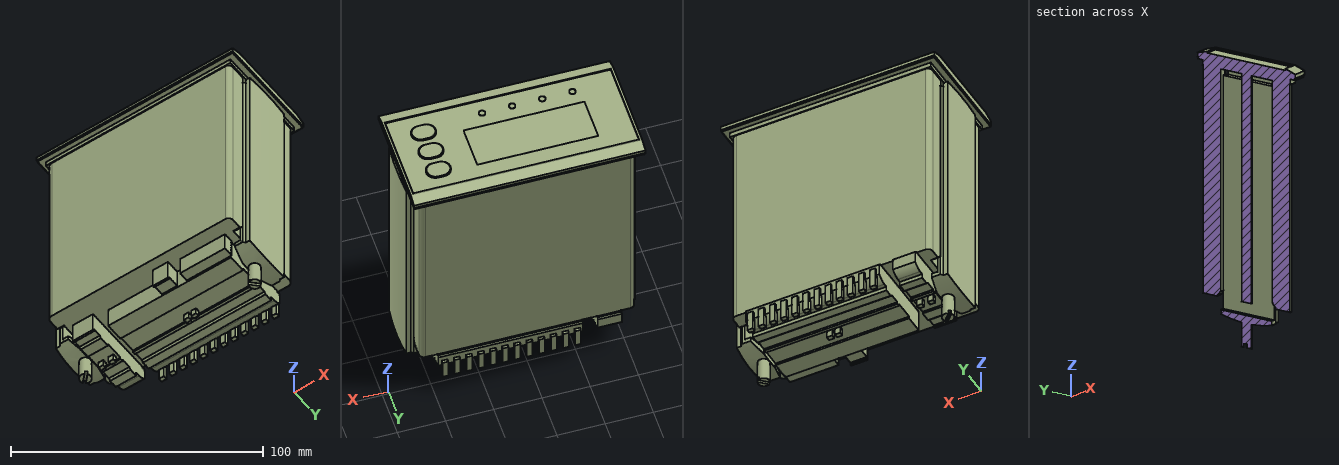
import cadquery as cq

PLATE_X = 96.0
PLATE_Y = 48.0
TOTAL_Z = 120.0

PLATE_BOTTOM = 116.8
BEVEL_Y = 4.7
BEVEL_Z = 1.5
GASKET_INSET = 0.2
GASKET_BOTTOM = 115.9
COLLAR_X = 90.2
COLLAR_Y = 43.2
COLLAR_BOTTOM = 113.8

PANEL_X = 93.6
PANEL_Y = 37.9
PANEL_DEPTH = 0.6
PANEL_Z = TOTAL_Z - PANEL_DEPTH
DISPLAY_X = 50.2
DISPLAY_Y = 18.4
DISPLAY_CENTER = (-7.0, 2.8)
DISPLAY_DEPTH = 0.1
LAMP_COUNT = 4
LAMP_PITCH = 12.5
LAMP_FIRST_X = -28.9
LAMP_ROW_Y = -12.6
LAMP_DIAMETER = 2.6
LAMP_HEIGHT = 0.2
BUTTON_COUNT = 3
BUTTON_PITCH = 10.0
BUTTON_X = 33.6
BUTTON_LENGTH = 10.2
BUTTON_WIDTH = 7.7
BUTTON_HEIGHT = 0.5
BUTTON_CHAMFER = 0.4

CASE_X = 89.3
CASE_Y = 42.6
CASE_BOTTOM = 18.8
CASE_FILLET = 2.2
LEAD_IN_Y = 2.0
LEAD_IN_Z = 2.4

SCREW_X = 41.4
SCREW_RADIUS = 2.5
SLOT_WIDTH = 1.2
SLOT_DEPTH = 1.5
SLOT_ANGLE = 45

COVER_X = PLATE_X / 2 - 0.1
COVER_EDGE_X = 47.4
COVER_HALF_Y = 11.6
COVER_TOP = 112.7
RUNNER_OUTER_X = 45.5
RUNNER_SHOULDER_X = 44.5
RUNNER_INNER_X = 43.3
RUNNER_HALF_Y = 12.5
RUNNER_TOP = 110.9
CLIP_BOTTOM = 10.1
CLIP_EDGE_BOTTOM = 11.8
FOOT_TOP = 13.7
FOOT_TIP_X = SCREW_X - SCREW_RADIUS
FOOT_SHOULDER_X = 40.7
FOOT_TIP_HALF_Y = 4.8

SMALL_BLOCK_LEFT = -38.6
SMALL_BLOCK_POLES = 2
SMALL_BLOCK_FRONT_Y = -12.5
LONG_BLOCK_LEFT = -22.5
LONG_BLOCK_X = 60.0
LONG_BLOCK_POLES = 12
POLE_PITCH = LONG_BLOCK_X / LONG_BLOCK_POLES
LONG_BLOCK_FRONT_Y = -10.5
BLOCK_BOTTOM = 9.1
BLOCK_BACK_Y = 22.5
BLOCK_CORNER = 0.6
RECESS_Z = 10.1
INNER_GROOVE_Y = (-2.4, 6.1)
REAR_GROOVE_Y = (7.5, 12.1)
RECESS_SLOPE = 0.7
STEP_Y = 16.7
STEP_Z = 11.0
BELLY_START_Y = 18.6
BELLY_MIDDLE = (21.1, 11.9)
BELLY_END_Z = 13.1
FRONT_LIP = 0.8
FRONT_RECESS_BACK_Y = -7.8
PIN_SIZE = 2.4
PIN_THICKNESS = 1.9
PIN_BOTTOM = 7.0
REAR_PIN_TOP = 15.8
REAR_PIN_Y = 22.8
INNER_PIN_Y = 4.1

SOCKET_LEFT = 3.7
SOCKET_X = 7.5
SOCKET_FRONT_Y = -16.8
SOCKET_PIN_PITCH = 3.6
PLAIN_LEFT = 15.8
PLAIN_X = 22.0
PLAIN_FRONT_Y = -15.1


def block(x_min, x_max, y_min, y_max, z_min, z_max):
    """Axis-aligned box given by its limits."""
    size = (x_max - x_min, y_max - y_min, z_max - z_min)
    return cq.Workplane("XY").box(*size, centered=False).translate((x_min, y_min, z_min))


def centered_block(x_size, y_size, z_min, z_max):
    """Box centred on the Z axis."""
    return block(-x_size / 2, x_size / 2, -y_size / 2, y_size / 2, z_min, z_max)


def front_plate():
    half_y = PLATE_Y / 2
    outline = [
        (-half_y, PLATE_BOTTOM),
        (half_y, PLATE_BOTTOM),
        (half_y, TOTAL_Z - BEVEL_Z),
        (half_y - BEVEL_Y, TOTAL_Z),
        (-half_y + BEVEL_Y, TOTAL_Z),
        (-half_y, TOTAL_Z - BEVEL_Z),
    ]
    plate = cq.Workplane("YZ").polyline(outline).close().extrude(PLATE_X / 2, both=True)
    plate = plate.cut(centered_block(PANEL_X, PANEL_Y, PANEL_Z, TOTAL_Z))
    gasket = centered_block(
        PLATE_X - 2 * GASKET_INSET, PLATE_Y - 2 * GASKET_INSET, GASKET_BOTTOM, PLATE_BOTTOM
    )
    collar = centered_block(COLLAR_X, COLLAR_Y, COLLAR_BOTTOM, GASKET_BOTTOM)
    return plate.union(gasket).union(collar)


def display_window():
    window = centered_block(DISPLAY_X, DISPLAY_Y, PANEL_Z - DISPLAY_DEPTH, PANEL_Z)
    return window.translate((*DISPLAY_CENTER, 0))


def lamps():
    centers = [(LAMP_FIRST_X + i * LAMP_PITCH, LAMP_ROW_Y) for i in range(LAMP_COUNT)]
    face = cq.Workplane("XY", origin=(0, 0, PANEL_Z)).pushPoints(centers)
    return face.circle(LAMP_DIAMETER / 2).extrude(LAMP_HEIGHT)


def buttons():
    face = cq.Workplane("XY", origin=(BUTTON_X, 0, PANEL_Z)).rarray(1.2, BUTTON_PITCH, 1, BUTTON_COUNT)
    return face.slot2D(BUTTON_LENGTH, BUTTON_WIDTH).extrude(BUTTON_HEIGHT).faces(">Z").chamfer(BUTTON_CHAMFER)


def case():
    body = centered_block(CASE_X, CASE_Y, CASE_BOTTOM, COLLAR_BOTTOM).edges("|Z").fillet(CASE_FILLET)
    outline = [
        (-RUNNER_HALF_Y - LEAD_IN_Y, CASE_BOTTOM),
        (RUNNER_HALF_Y + LEAD_IN_Y, CASE_BOTTOM),
        (RUNNER_HALF_Y, CASE_BOTTOM + LEAD_IN_Z),
        (RUNNER_HALF_Y, COLLAR_BOTTOM),
        (-RUNNER_HALF_Y, COLLAR_BOTTOM),
        (-RUNNER_HALF_Y, CASE_BOTTOM + LEAD_IN_Z),
    ]
    depth = CASE_X / 2 - SCREW_X
    channel = cq.Workplane("YZ", origin=(SCREW_X, 0, 0)).polyline(outline).close().extrude(depth)
    return body.cut(channel).cut(channel.mirror("YZ"))


def clip():
    """Clip with its clamp screw on the +X side."""
    cover = (
        cq.Workplane("XY", origin=(0, 0, CLIP_BOTTOM))
        .moveTo(RUNNER_OUTER_X, -COVER_HALF_Y)
        .lineTo(COVER_EDGE_X, -COVER_HALF_Y)
        .threePointArc((COVER_X, 0), (COVER_EDGE_X, COVER_HALF_Y))
        .lineTo(RUNNER_OUTER_X, COVER_HALF_Y)
        .close()
        .extrude(COVER_TOP - CLIP_BOTTOM)
    )
    runner_half = [
        (RUNNER_OUTER_X, COVER_HALF_Y),
        (RUNNER_SHOULDER_X, RUNNER_HALF_Y),
        (RUNNER_INNER_X, RUNNER_HALF_Y),
    ]
    foot_half = [
        (RUNNER_INNER_X, RUNNER_HALF_Y),
        (FOOT_SHOULDER_X, RUNNER_HALF_Y),
        (FOOT_TIP_X, FOOT_TIP_HALF_Y),
    ]
    runner = symmetric_prism(runner_half, CLIP_BOTTOM, RUNNER_TOP)
    foot = symmetric_prism(foot_half, CLIP_BOTTOM, FOOT_TOP)

    envelope = (
        cq.Workplane("YZ")
        .moveTo(-RUNNER_HALF_Y, COVER_TOP)
        .lineTo(-RUNNER_HALF_Y, CLIP_EDGE_BOTTOM)
        .threePointArc((0, CLIP_BOTTOM), (RUNNER_HALF_Y, CLIP_EDGE_BOTTOM))
        .lineTo(RUNNER_HALF_Y, COVER_TOP)
        .close()
        .extrude(PLATE_X / 2)
    )
    return cover.union(runner).union(foot).intersect(envelope).union(screw())


def symmetric_prism(half_outline, z_min, z_max):
    """Prism whose outline is the given +Y half and its mirror image."""
    mirrored = [(x, -y) for x, y in reversed(half_outline)]
    plane = cq.Workplane("XY", origin=(0, 0, z_min))
    return plane.polyline(half_outline + mirrored).close().extrude(z_max - z_min)


def screw():
    """Slotted screw tip below the foot and the screw shank in the case channel."""
    tip = cq.Workplane("XY").circle(SCREW_RADIUS).extrude(FOOT_TOP)
    slot = centered_block(2 * SCREW_RADIUS, SLOT_WIDTH, 0, SLOT_DEPTH)
    tip = tip.cut(slot.rotate((0, 0, 0), (0, 0, 1), SLOT_ANGLE))
    shank = cq.Workplane("XY", origin=(0, 0, CASE_BOTTOM)).circle(SCREW_RADIUS)
    shank = shank.extrude(COLLAR_BOTTOM - CASE_BOTTOM)
    return tip.union(shank).translate((SCREW_X, 0, 0))


def pin(x, y, z_max):
    """Solder pin with its middle at (x, y), reaching up to z_max."""
    half_x = PIN_SIZE / 2
    half_y = PIN_THICKNESS / 2
    return block(x - half_x, x + half_x, y - half_y, y + half_y, PIN_BOTTOM, z_max)


def terminal_block(left, poles, front_y, pin_y, pin_top):
    """Terminal block of constant cross-section with one pin per pole."""
    inner_front, inner_back = INNER_GROOVE_Y
    rear_front, rear_back = REAR_GROOVE_Y
    body = (
        cq.Workplane("YZ", origin=(left, 0, 0))
        .moveTo(front_y, CASE_BOTTOM)
        .lineTo(front_y, BLOCK_BOTTOM)
        .lineTo(inner_front, BLOCK_BOTTOM)
        .lineTo(inner_front, RECESS_Z)
        .lineTo(inner_back, RECESS_Z)
        .lineTo(inner_back, BLOCK_BOTTOM)
        .lineTo(rear_front, BLOCK_BOTTOM)
        .lineTo(rear_front, RECESS_Z)
        .lineTo(rear_back, RECESS_Z)
        .lineTo(rear_back + RECESS_SLOPE, BLOCK_BOTTOM)
        .lineTo(STEP_Y, BLOCK_BOTTOM)
        .lineTo(STEP_Y, STEP_Z)
        .lineTo(BELLY_START_Y, STEP_Z)
        .threePointArc(BELLY_MIDDLE, (BLOCK_BACK_Y, BELLY_END_Z))
        .lineTo(BLOCK_BACK_Y, CASE_BOTTOM - BLOCK_CORNER)
        .lineTo(BLOCK_BACK_Y - BLOCK_CORNER, CASE_BOTTOM)
        .close()
        .extrude(poles * POLE_PITCH)
    )
    for i in range(poles):
        body = body.union(pin(left + (i + 0.5) * POLE_PITCH, pin_y, pin_top))
    return body


def small_terminal_block():
    """Two-pole block whose underside is recessed behind a narrow front lip."""
    body = terminal_block(
        SMALL_BLOCK_LEFT, SMALL_BLOCK_POLES, SMALL_BLOCK_FRONT_Y, INNER_PIN_Y, RECESS_Z
    )
    lip_back = SMALL_BLOCK_FRONT_Y + FRONT_LIP
    outline = [
        (lip_back, BLOCK_BOTTOM),
        (lip_back, RECESS_Z),
        (FRONT_RECESS_BACK_Y, RECESS_Z),
        (FRONT_RECESS_BACK_Y + RECESS_SLOPE, BLOCK_BOTTOM),
    ]
    recess = cq.Workplane("YZ", origin=(SMALL_BLOCK_LEFT, 0, 0)).polyline(outline).close()
    return body.cut(recess.extrude(SMALL_BLOCK_POLES * POLE_PITCH))


def long_terminal_block():
    return terminal_block(LONG_BLOCK_LEFT, LONG_BLOCK_POLES, LONG_BLOCK_FRONT_Y, REAR_PIN_Y, REAR_PIN_TOP)


def plug_socket():
    """Socket in front of the long block, with a lip along its lower front edge."""
    right = SOCKET_LEFT + SOCKET_X
    lip_back = SOCKET_FRONT_Y + FRONT_LIP
    body = block(SOCKET_LEFT, right, SOCKET_FRONT_Y, LONG_BLOCK_FRONT_Y, RECESS_Z, CASE_BOTTOM)
    body = body.union(block(SOCKET_LEFT, right, SOCKET_FRONT_Y, lip_back, BLOCK_BOTTOM, RECESS_Z))
    middle = (SOCKET_LEFT + right) / 2
    for side in (-1, 1):
        body = body.union(pin(middle + side * SOCKET_PIN_PITCH / 2, INNER_PIN_Y, RECESS_Z))
    return body


def plain_socket():
    right = PLAIN_LEFT + PLAIN_X
    return block(PLAIN_LEFT, right, PLAIN_FRONT_Y, LONG_BLOCK_FRONT_Y, RECESS_Z, CASE_BOTTOM)


right_clip = clip()

result = (
    front_plate()
    .cut(display_window())
    .union(lamps())
    .union(buttons())
    .union(case())
    .union(right_clip)
    .union(right_clip.mirror("YZ"))
    .union(small_terminal_block())
    .union(long_terminal_block())
    .union(plug_socket())
    .union(plain_socket())
)